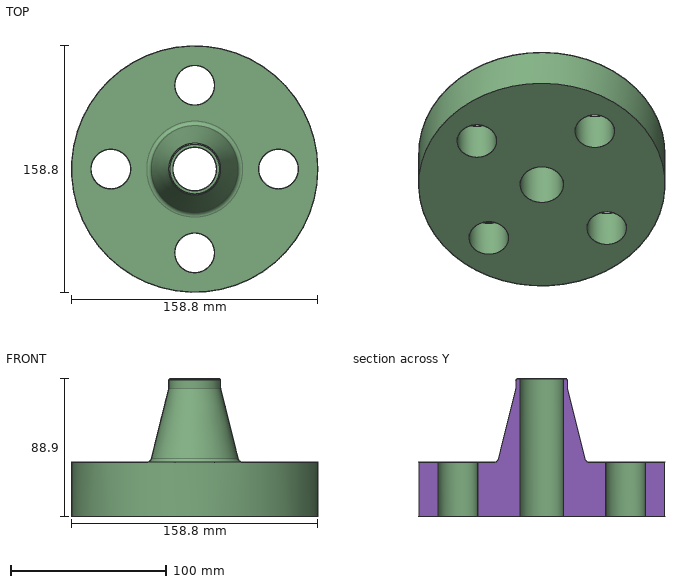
import cadquery as cq

flange_diameter = 158.75
flange_thickness = 35.05
overall_height = 88.9

bolt_hole_count = 4
bolt_circle_diameter = 107.95
bolt_hole_diameter = 25.4

hub_base_diameter = 57.15
hub_fillet_radius = 3.0
neck_diameter = 33.5
neck_length = 6.3
bore_diameter = 27.9

tip_chamfer = 0.8


def make_body():
    """Revolve the flange, tapered hub and chamfered neck as one solid blank."""
    flange_radius = flange_diameter / 2
    neck_radius = neck_diameter / 2
    return (
        cq.Workplane("XZ")
        .lineTo(flange_radius, 0)
        .lineTo(flange_radius, flange_thickness)
        .lineTo(hub_base_diameter / 2, flange_thickness)
        .lineTo(neck_radius, overall_height - neck_length)
        .lineTo(neck_radius, overall_height - tip_chamfer)
        .lineTo(neck_radius - tip_chamfer, overall_height)
        .lineTo(0, overall_height)
        .close()
        .revolve(360, (0, 0, 0), (0, 1, 0))
    )


def fillet_hub_root(body):
    """Round the inside corner between the hub cone and the flange face."""
    hub_root = cq.selectors.RadiusNthSelector(-2)
    return body.edges("%CIRCLE").edges(hub_root).fillet(hub_fillet_radius)


def cut_bore(body):
    """Cut the central bore through the full height."""
    bore = cq.Workplane("XY").circle(bore_diameter / 2).extrude(overall_height)
    return body.cut(bore)


def cut_bolt_holes(body):
    """Cut the ring of bolt holes through the flange."""
    holes = (
        cq.Workplane("XY")
        .polarArray(bolt_circle_diameter / 2, 0, 360, bolt_hole_count)
        .circle(bolt_hole_diameter / 2)
        .extrude(flange_thickness)
    )
    return body.cut(holes)


result = cut_bolt_holes(cut_bore(fillet_hub_root(make_body())))